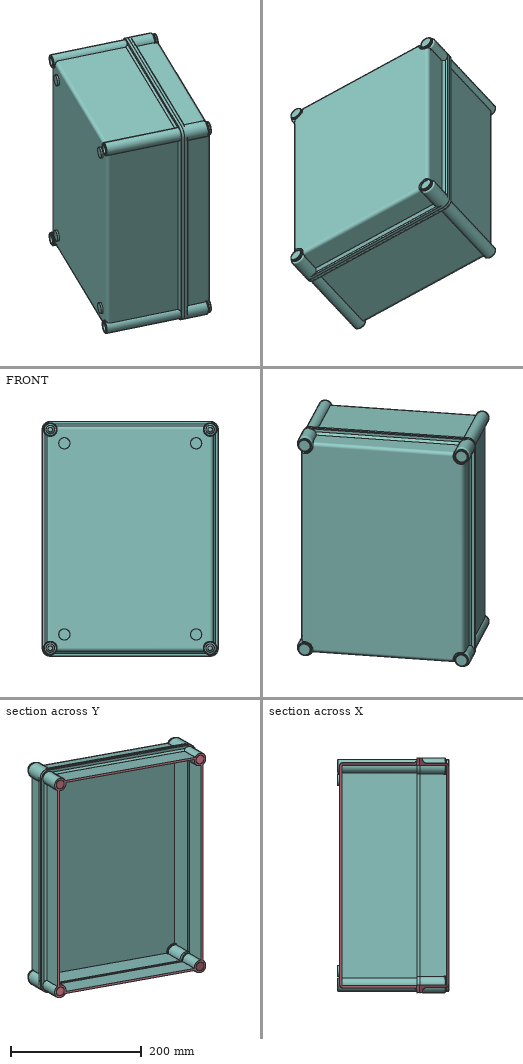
import cadquery as cq
width = 270.0
height = 360.0
depth = 171.07
corner_radius = 12.5

back_face_y = 3.0
flare_start_y = 118.2
base_top_y = 121.7
lid_bottom_y = 126.3
lid_rim_top_y = 130.7
lid_slope_top_y = 134.9
lid_post_top_y = 165.6
screw_head_bottom_y = 167.5

base_wall_inset = 7.25
base_lip_inset = 4.3
lid_ledge_inset = 4.3
lid_wall_inset = 8.0
wall_thickness = 4.0
cavity_inset = base_wall_inset + wall_thickness
lid_cavity_inset = lid_wall_inset + wall_thickness
outer_edge_fillet = 5.5

post_x = width / 2 - corner_radius
post_z = height / 2 - corner_radius
base_post_radius = 10.4
base_post_chamfer = 1.2
lid_post_fillet = 2.0
head_pocket_radius = 13.0
head_pocket_bottom_y = lid_post_top_y - lid_post_fillet

screw_head_radius = 10.2
screw_head_chamfer = 1.2
screw_neck_radius = 7.8
screw_shank_radius = 6.5
screw_tip_radius = 3.5
screw_tip_length = 3.0
screw_tip_y = 60.0

foot_x = 101.0
foot_z = 146.5
foot_radius = 8.6

corner_signs = [(sx, sz) for sx in (-1, 1) for sz in (-1, 1)]
post_points = [(sx * post_x, sz * post_z) for sx, sz in corner_signs]
foot_points = [(sx * foot_x, sz * foot_z) for sx, sz in corner_signs]


def plane_at(y):
    """Workplane facing +Y at the given level."""
    return cq.Workplane(cq.Plane(origin=(0, y, 0), xDir=(1, 0, 0), normal=(0, 1, 0)))


def slab(inset, y0, y1):
    """Rectangular block, its sides moved inwards from the outline."""
    return plane_at(y0).rect(width - 2 * inset, height - 2 * inset).extrude(y1 - y0)


def rounded_slab(inset, y0, y1):
    """Block with corners concentric with the corners of the outline."""
    return slab(inset, y0, y1).edges("|Y").fillet(corner_radius - inset)


def sloped_slab(inset0, y0, inset1, y1):
    """Frustum between two rectangles, trimmed to the rounded outline."""
    frustum = (
        plane_at(y0)
        .rect(width - 2 * inset0, height - 2 * inset0)
        .workplane(offset=y1 - y0)
        .rect(width - 2 * inset1, height - 2 * inset1)
        .loft(combine=True)
    )
    return frustum.intersect(rounded_slab(min(inset0, inset1), y0, y1))


def cylinders(points, radius, y0, y1):
    """Equal cylinders along Y at the given points."""
    return plane_at(y0).pushPoints(points).circle(radius).extrude(y1 - y0)


def make_base():
    """Tub with a flared lip, corner posts and mounting feet."""
    tub = slab(base_wall_inset, back_face_y, base_top_y)
    tub = tub.faces("<Y").edges().fillet(outer_edge_fillet)
    lip = sloped_slab(base_wall_inset, flare_start_y, base_lip_inset, base_top_y)
    posts = cylinders(post_points, base_post_radius, 0, base_top_y)
    posts = posts.faces("<Y").chamfer(base_post_chamfer)
    feet = cylinders(foot_points, foot_radius, 0, back_face_y)
    cavity = slab(cavity_inset, back_face_y + wall_thickness, base_top_y)
    bores = cylinders(post_points, screw_shank_radius, 0, base_top_y)
    return tub.union(lip).cut(cavity).union(posts).union(feet).cut(bores)


def make_gasket():
    """Flat ring between base and lid, with eyes for the screws."""
    ring = rounded_slab(0, base_top_y, lid_bottom_y)
    opening = slab(lid_cavity_inset, base_top_y, lid_bottom_y)
    posts = cylinders(post_points, corner_radius, base_top_y, lid_bottom_y)
    bores = cylinders(post_points, screw_shank_radius, base_top_y, lid_bottom_y)
    return ring.cut(opening).union(posts).cut(bores)


def make_lid():
    """Hollow cover with a rim, corner posts and pockets around the screw heads."""
    cover = slab(lid_wall_inset, lid_bottom_y, depth)
    cover = cover.faces(">Y").edges().fillet(outer_edge_fillet)
    rim = rounded_slab(0, lid_bottom_y, lid_rim_top_y)
    slope = sloped_slab(lid_ledge_inset, lid_rim_top_y, lid_wall_inset, lid_slope_top_y)
    cavity = slab(lid_cavity_inset, lid_bottom_y, depth - wall_thickness)
    posts = cylinders(post_points, corner_radius, lid_bottom_y, lid_post_top_y)
    posts = posts.faces(">Y").edges().fillet(lid_post_fillet)
    head_pockets = cylinders(post_points, head_pocket_radius, head_pocket_bottom_y, depth)
    bores = cylinders(post_points, screw_shank_radius, lid_bottom_y, lid_post_top_y)
    shell = cover.cut(head_pockets).union(slope).union(posts)
    shell = shell.union(rim, clean=False).cut(cavity, clean=False)
    inner_posts = posts.cut(bores)
    return shell.union(inner_posts, clean=False).cut(bores, clean=False)


def make_screw(x, z):
    """Screw along Y, its head clear of the lid post and its tip inside the base post."""
    profile = [
        (0, screw_tip_y),
        (screw_tip_radius, screw_tip_y),
        (screw_shank_radius, screw_tip_y + screw_tip_length),
        (screw_shank_radius, lid_post_top_y),
        (screw_neck_radius, lid_post_top_y),
        (screw_neck_radius, screw_head_bottom_y),
        (screw_head_radius, screw_head_bottom_y),
        (screw_head_radius, depth - screw_head_chamfer),
        (screw_head_radius - screw_head_chamfer, depth),
        (0, depth),
    ]
    screw = cq.Workplane("XY").polyline(profile).close().revolve(360, (0, 0, 0), (0, 1, 0))
    return screw.translate((x, 0, z))


base = make_base()
gasket = make_gasket()
lid = make_lid()
screws = [make_screw(x, z) for x, z in post_points]

result = cq.Compound.makeCompound(
    [base.val(), gasket.val(), lid.val(), *[screw.val() for screw in screws]]
)